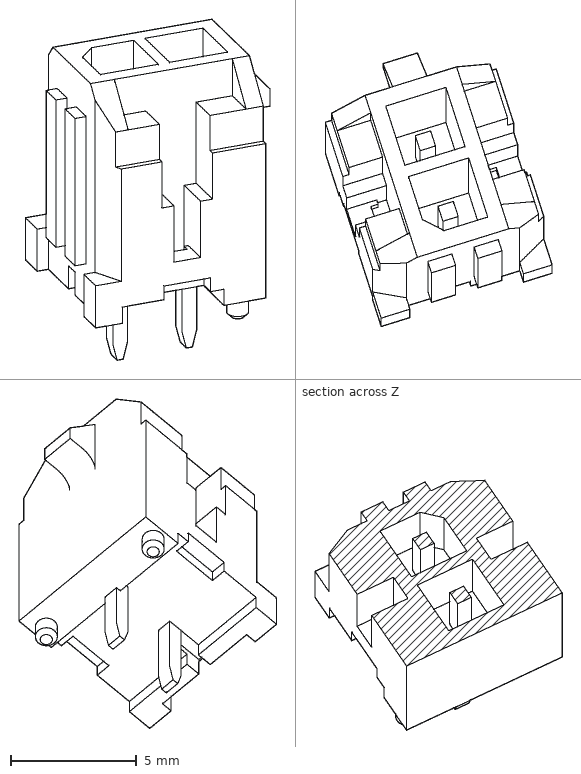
import cadquery as cq


width = 7.15
depth = 6.89
height = 9.91
core_width = 3.82

shoulder_height = 8.29
upper_wall_width = 6.62
wall_step_height = 6.75
corner_chamfer_x = 1.2
corner_chamfer_y = 0.63
front_gusset_length = 1.03
back_gusset_length = 0.75

slot_center_y = 3.48
upper_slot_length = 2.19
upper_slot_floor = 4.74
lower_slot_length = 1.15
lower_slot_floor = 2.28
pocket_outer_x = 2.62
pocket_wide_x = 2.32
pocket_length = 0.79
pocket_depth = 0.65

standoff_height = 0.71
front_skirt = 0.67
back_skirt = 1.82
side_recess_length = 2.02
side_recess_top = 1.31
side_recess_depth = 0.65
pin_groove_top = 1.01

front_projection = 0.48
foot_height = 1.85
rib_width = 1.01
rib_center_x = 0.97

pitch = 3.0
front_pin_y = 1.96
cavity_size = 2.51
cavity_floor = lower_slot_floor
key_chamfer = 0.7
pin_width = 0.64
pin_top = wall_step_height
pin_bottom = -3.18
pin_taper = 0.73
pin_tip_width = 0.26

latch_width = 1.44
latch_reach = 1.4
latch_ramp_top = 9.35
latch_nose_top = 7.7
latch_underside = 6.95
latch_fillet = 0.71

peg_diameter = 0.88
peg_length = 0.86
peg_chamfer = 0.2
peg_x = 3.01
peg_y = 5.9

pin_rows = [front_pin_y, front_pin_y + pitch]


def block(x_range, y_range, z_range):
    """Box spanning the given ranges."""
    (x0, x1), (y0, y1), (z0, z1) = x_range, y_range, z_range
    return cq.Workplane("XY").box(x1 - x0, y1 - y0, z1 - z0, centered=False).translate((x0, y0, z0))


def centered(size, center=0.0):
    """Range of the given size about a center."""
    return (center - size / 2, center + size / 2)


def on_both_sides(shape):
    """Shape together with its mirror image in X."""
    return shape.union(shape.mirror("YZ"))


def extruded_in_y(points, y_start, length):
    """XZ outline extruded from y_start toward +Y."""
    return cq.Workplane("XZ", origin=(0, y_start, 0)).polyline(points).close().extrude(-length)


def make_gussets():
    """Sloping end pieces that join the core top to the wall shoulders."""
    slope = [
        (-core_width / 2, height),
        (core_width / 2, height),
        (upper_wall_width / 2, shoulder_height),
        (-upper_wall_width / 2, shoulder_height),
    ]
    front = extruded_in_y(slope, 0, front_gusset_length)
    back = extruded_in_y(slope, depth - back_gusset_length, back_gusset_length)
    return front.union(back)


def make_corner_cut():
    """Vertical bevel of the front corner, standing on the foot."""
    return (
        cq.Workplane("XY", origin=(0, 0, foot_height))
        .moveTo(width / 2, 0)
        .lineTo(width / 2, corner_chamfer_y)
        .lineTo(width / 2 - corner_chamfer_x, 0)
        .close()
        .extrude(height - foot_height)
    )


def make_shell():
    """Core with stepped side walls and beveled front corners."""
    shell = block(centered(width), (0, depth), (0, wall_step_height))
    shell = shell.union(block(centered(upper_wall_width), (0, depth), (wall_step_height, shoulder_height)))
    shell = shell.union(block(centered(core_width), (0, depth), (shoulder_height, height)))
    shell = shell.union(make_gussets())
    return shell.cut(on_both_sides(make_corner_cut()))


def make_side_slot():
    """Stepped slot and T-shaped clip pocket on the +X side."""
    across = (core_width / 2, width / 2)
    upper_y = centered(upper_slot_length, slot_center_y)
    lower_y = centered(lower_slot_length, slot_center_y)
    pocket_y = centered(pocket_length, slot_center_y)
    pocket_z = (lower_slot_floor - pocket_depth, lower_slot_floor)
    slot = block(across, upper_y, (upper_slot_floor, shoulder_height))
    slot = slot.union(block(across, lower_y, (lower_slot_floor, upper_slot_floor)))
    slot = slot.union(block((core_width / 2, pocket_wide_x), lower_y, pocket_z))
    return slot.union(block((core_width / 2, pocket_outer_x), pocket_y, pocket_z))


def make_underside_cut():
    """Cross passage, side recesses and the groove leading to the front pin."""
    passage = block(centered(width), (front_skirt, depth - back_skirt), (0, standoff_height))
    recess = block(
        (width / 2 - side_recess_depth, width / 2),
        centered(side_recess_length, slot_center_y),
        (0, side_recess_top),
    )
    groove = block(centered(pin_width), (0, front_pin_y), (0, pin_groove_top))
    return passage.union(on_both_sides(recess)).union(groove)


def make_cavity(y, keyed):
    """Contact cavity, with one beveled corner when keyed."""
    cavity = block(centered(cavity_size), centered(cavity_size, y), (cavity_floor, height))
    if keyed:
        cavity = cavity.edges("|Z and <X and <Y").chamfer(key_chamfer)
    return cavity


def make_pin(y):
    """Square pin whose tail narrows in Y only."""
    half = pin_width / 2
    half_tip = pin_tip_width / 2
    outline = [
        (y - half, pin_top),
        (y + half, pin_top),
        (y + half, pin_bottom + pin_taper),
        (y + half_tip, pin_bottom),
        (y - half_tip, pin_bottom),
        (y - half, pin_bottom + pin_taper),
    ]
    return cq.Workplane("YZ").polyline(outline).close().extrude(half, both=True)


def make_latch():
    """Ramp on the back face with a rounded root below its nose."""
    nose_y = depth + latch_reach
    return (
        cq.Workplane("YZ")
        .moveTo(depth, latch_ramp_top)
        .lineTo(nose_y, latch_nose_top)
        .lineTo(nose_y, latch_underside)
        .lineTo(depth + latch_fillet, latch_underside)
        .radiusArc((depth, latch_underside - latch_fillet), -latch_fillet)
        .close()
        .extrude(latch_width / 2, both=True)
    )


def make_foot():
    """Front corner foot on the +X side."""
    return block((width / 2 - corner_chamfer_x, width / 2), (-front_projection, front_skirt), (0, foot_height))


def make_rib():
    """Vertical rib on the front face, +X side."""
    return block(centered(rib_width, rib_center_x), (-front_projection, 0), (foot_height, shoulder_height))


def make_peg():
    """Locating peg under the back of the housing, +X side."""
    peg = cq.Workplane("XY").center(peg_x, peg_y).circle(peg_diameter / 2).extrude(-peg_length)
    return peg.faces("<Z").chamfer(peg_chamfer)


housing = make_shell()
housing = housing.cut(on_both_sides(make_side_slot()))
housing = housing.union(on_both_sides(make_foot()))
housing = housing.union(on_both_sides(make_rib()))
housing = housing.cut(make_underside_cut())
for row_y in pin_rows:
    housing = housing.cut(make_cavity(row_y, keyed=row_y == front_pin_y))
housing = housing.union(make_latch()).union(on_both_sides(make_peg()))
for row_y in pin_rows:
    housing = housing.union(make_pin(row_y))

result = housing